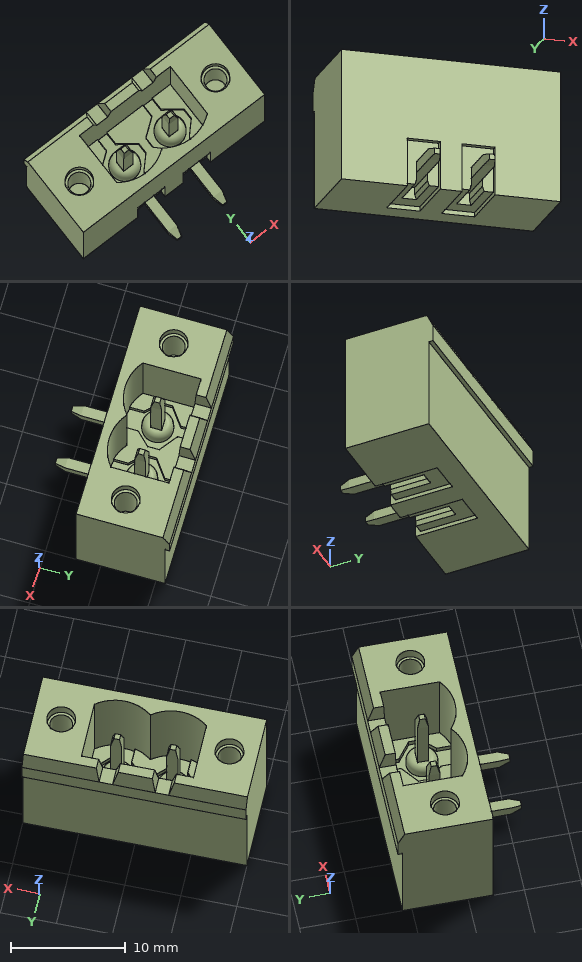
import cadquery as cq
import math


POLES = 2
PITCH = 5.0
FLANGE_LENGTH = 5.0
AXIS_Y = 3.8
POLE_X = [(i - (POLES - 1) / 2) * PITCH for i in range(POLES)]

POCKET_LENGTH = POLES * PITCH
LENGTH = POCKET_LENGTH + 2 * FLANGE_LENGTH
HEIGHT = 12.0
LIP_BACK = 8.5
BODY_BACK = 8.1
LIP_BOTTOM = 9.0
LIP_CHAMFER_Y = 0.6
LIP_CHAMFER_Z = 1.3

POCKET_BACK = 7.0
POCKET_FRONT = 0.85
POCKET_FLOOR = 4.0
SCALLOP_RADIUS = 4.0
SCALLOP_RISE = SCALLOP_RADIUS - math.sqrt(SCALLOP_RADIUS**2 - (PITCH / 2) ** 2)
SCALLOP_END = POCKET_FRONT + SCALLOP_RISE

NOTCH_TOP_WIDTH = 1.95
NOTCH_FLOOR_WIDTH = 1.2
NOTCH_DEPTH = LIP_CHAMFER_Z

KEYHOLE_DEPTH = 0.5
KEYHOLE_WIDTH = 4.2
KEYHOLE_BACK_WIDTH = 1.0
KEYHOLE_FRONT_WIDTH = 1.9
KEYHOLE_NECK_BACK = 5.75
KEYHOLE_SIDE_BACK = 4.55
KEYHOLE_SIDE_FRONT = 3.5
KEYHOLE_NECK_FRONT = 2.3
KEYHOLE_FLOOR = POCKET_FLOOR - KEYHOLE_DEPTH

COLLAR_DIAMETER = 2.8
COLLAR_FILLET = 0.6
COLLAR_HEIGHT = 1.0

PIN_WIDTH = 1.0
PIN_TIP_WIDTH = 0.5
PIN_TAPER = 1.0
PIN_TOP = 10.8
TAIL_END = -4.0
TAIL_Z = 2.0
PIN_BACK = AXIS_Y + PIN_WIDTH / 2
PIN_BOTTOM = TAIL_Z - PIN_WIDTH / 2

RECESS_WIDTH = 3.0
RECESS_HEIGHT = 4.4
RECESS_DEPTH = 0.5
CHANNEL_HEIGHT = 0.4
CHANNEL_BACK = 6.0
FUNNEL_WIDTH = 1.3
FUNNEL_TOP = 0.85

INSERT_X = [-(POCKET_LENGTH + FLANGE_LENGTH) / 2, (POCKET_LENGTH + FLANGE_LENGTH) / 2]
INSERT_DIAMETER = 2.5
INSERT_BORE = 2.0
INSERT_SINK = 1.0
INSERT_LENGTH = 5.0


def box(x_center, width, y_range, z_range):
    """Block centred on x_center that spans the given Y and Z ranges."""
    depth = y_range[1] - y_range[0]
    height = z_range[1] - z_range[0]
    corner = (x_center - width / 2, y_range[0], z_range[0])
    return cq.Workplane("XY").box(width, depth, height, centered=False).translate(corner)


def front_prism(points, y_start, y_end):
    """Extrude an X-Z outline from y_start to y_end."""
    return cq.Workplane("XZ", origin=(0, y_start, 0)).polyline(points).close().extrude(y_start - y_end)


def mirrored(x_center, right_side):
    """Close an outline by mirroring its right-hand (offset, height) points about x_center."""
    right = [(x_center + offset, v) for offset, v in right_side]
    left = [(x_center - offset, v) for offset, v in reversed(right_side)]
    return right + left


def shell():
    profile = [
        (0, 0),
        (BODY_BACK, 0),
        (BODY_BACK, LIP_BOTTOM),
        (LIP_BACK, LIP_BOTTOM),
        (LIP_BACK, HEIGHT - LIP_CHAMFER_Z),
        (LIP_BACK - LIP_CHAMFER_Y, HEIGHT),
        (0, HEIGHT),
    ]
    return cq.Workplane("YZ", origin=(-LENGTH / 2, 0, 0)).polyline(profile).close().extrude(LENGTH)


def pocket(floor):
    """Pocket space from the given floor level to the top face."""
    half = POCKET_LENGTH / 2
    outline = (
        cq.Workplane("XY", origin=(0, 0, floor))
        .moveTo(half, POCKET_BACK)
        .lineTo(-half, POCKET_BACK)
        .lineTo(-half, SCALLOP_END)
    )
    for x in POLE_X:
        outline = outline.threePointArc((x, POCKET_FRONT), (x + PITCH / 2, SCALLOP_END))
    return outline.close().extrude(HEIGHT - floor)


def keyhole(x):
    """Floor recess, trimmed to the pocket outline at its front end."""
    right_side = [
        (KEYHOLE_FRONT_WIDTH / 2, 0),
        (KEYHOLE_FRONT_WIDTH / 2, KEYHOLE_NECK_FRONT),
        (KEYHOLE_WIDTH / 2, KEYHOLE_SIDE_FRONT),
        (KEYHOLE_WIDTH / 2, KEYHOLE_SIDE_BACK),
        (KEYHOLE_BACK_WIDTH / 2, KEYHOLE_NECK_BACK),
        (KEYHOLE_BACK_WIDTH / 2, POCKET_BACK),
    ]
    recess = (
        cq.Workplane("XY", origin=(0, 0, KEYHOLE_FLOOR))
        .polyline(mirrored(x, right_side))
        .close()
        .extrude(KEYHOLE_DEPTH)
    )
    return recess.intersect(pocket(KEYHOLE_FLOOR))


def collar(x):
    return (
        cq.Workplane("XY", origin=(x, AXIS_Y, KEYHOLE_FLOOR))
        .circle(COLLAR_DIAMETER / 2)
        .extrude(COLLAR_HEIGHT)
        .faces(">Z")
        .edges()
        .fillet(COLLAR_FILLET)
    )


def coding_notch(x):
    right_side = [
        (NOTCH_FLOOR_WIDTH / 2, HEIGHT - NOTCH_DEPTH),
        (NOTCH_TOP_WIDTH / 2, HEIGHT),
    ]
    return front_prism(mirrored(x, right_side), POCKET_BACK, LIP_BACK)


def tail_opening(x):
    """Front recess, underside channel and the flared slot that runs back to the pin."""
    recess = box(x, RECESS_WIDTH, (0, RECESS_DEPTH), (0, RECESS_HEIGHT))
    channel = box(x, RECESS_WIDTH, (0, CHANNEL_BACK), (0, CHANNEL_HEIGHT))
    slot_sides = [
        (FUNNEL_WIDTH / 2, CHANNEL_HEIGHT),
        (PIN_WIDTH / 2, FUNNEL_TOP),
        (PIN_WIDTH / 2, PIN_BOTTOM),
    ]
    slot = front_prism(mirrored(x, slot_sides), 0, PIN_BACK)
    return recess.union(channel).union(slot)


def make_pin(x):
    half = PIN_WIDTH / 2
    post = box(x, PIN_WIDTH, (AXIS_Y - half, PIN_BACK), (PIN_BOTTOM, PIN_TOP - PIN_TAPER))
    tail = box(x, PIN_WIDTH, (TAIL_END + PIN_TAPER, PIN_BACK), (PIN_BOTTOM, TAIL_Z + half))
    post_tip = (
        cq.Workplane("XY", origin=(x, AXIS_Y, PIN_TOP - PIN_TAPER))
        .rect(PIN_WIDTH, PIN_WIDTH)
        .workplane(offset=PIN_TAPER)
        .rect(PIN_TIP_WIDTH, PIN_TIP_WIDTH)
        .loft()
    )
    tail_tip = (
        cq.Workplane("XZ", origin=(x, TAIL_END + PIN_TAPER, TAIL_Z))
        .rect(PIN_WIDTH, PIN_WIDTH)
        .workplane(offset=PIN_TAPER)
        .rect(PIN_TIP_WIDTH, PIN_TIP_WIDTH)
        .loft()
    )
    return post.union(tail).union(post_tip).union(tail_tip)


def insert_seat(x):
    depth = INSERT_SINK + INSERT_LENGTH
    return cq.Workplane("XY", origin=(x, AXIS_Y, HEIGHT)).circle(INSERT_DIAMETER / 2).extrude(-depth)


def make_insert(x):
    """Sleeve that fills the lower part of its seat."""
    return (
        cq.Workplane("XY", origin=(x, AXIS_Y, HEIGHT - INSERT_SINK))
        .circle(INSERT_DIAMETER / 2)
        .circle(INSERT_BORE / 2)
        .extrude(-INSERT_LENGTH)
    )


def make_housing(pins):
    body = shell().cut(pocket(POCKET_FLOOR))
    for x in POLE_X:
        body = body.cut(keyhole(x)).union(collar(x))
        body = body.cut(coding_notch(x)).cut(tail_opening(x))
    for x in INSERT_X:
        body = body.cut(insert_seat(x))
    for pin in pins:
        body = body.cut(pin)
    return body


pins = [make_pin(x) for x in POLE_X]
inserts = [make_insert(x) for x in INSERT_X]
housing = make_housing(pins)

bodies = [housing, *pins, *inserts]
result = cq.Compound.makeCompound([body.solids().val() for body in bodies])